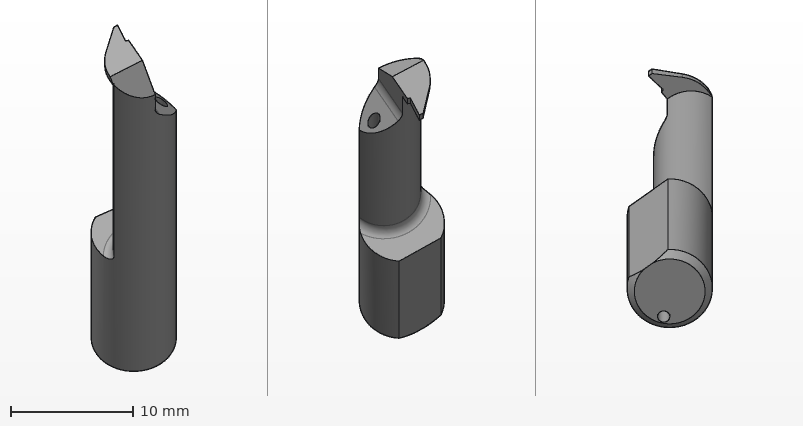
import cadquery as cq
import math

total_length = 40
shank_radius = 3.5
shank_length = 15.0
flat_x = -2.86
foot_chamfer = 0.6

neck_radius = 3.05
neck_left_x = -0.25
neck_center_x = neck_left_x + neck_radius
neck_root_radius = 0.8

relief_y = 0.1
relief_root_radius = 1.6
relief_slope_y = 2.95
relief_slope_z = 32.05
relief_slope_angle = 48.5

head_height = 1.0
head_top_drop = 0.25
head_bottom_rise = 0.15
tip_x = -2.8
tip_front_y = 0.05
tip_back_y = -0.3
rake_end = (-1.1, -0.15)
rake_step_x = -1.0
flank_end = (-0.95, -2.1)
back_y = -2.95
back_end_x = 1.85
bevel_front_leg = 2.15
bevel_back_leg = 2.4

coolant_x = 1.5
coolant_y = 1.75
coolant_diameter = 1.0

cut_size = 4 * shank_radius


def make_shank():
    shank = cq.Workplane("XY").circle(shank_radius).extrude(shank_length)
    shank = shank.faces("<Z").chamfer(foot_chamfer)
    beyond_flat = cq.Workplane("XY").box(cut_size, cut_size, total_length).translate(
        (flat_x - cut_size / 2, 0, 0)
    )
    return shank.cut(beyond_flat)


def make_neck():
    """Offset round neck with a concave flare at its root, kept within the shank's round."""
    root_top = shank_length + neck_root_radius
    arc_offset = neck_root_radius * (1 - math.sqrt(0.5))
    neck = (
        cq.Workplane("XZ")
        .moveTo(0, shank_length)
        .lineTo(neck_radius + neck_root_radius, shank_length)
        .threePointArc(
            (neck_radius + arc_offset, shank_length + arc_offset),
            (neck_radius, root_top),
        )
        .lineTo(neck_radius, total_length)
        .lineTo(0, total_length)
        .close()
        .revolve(360, (0, 0), (0, 1))
        .translate((neck_center_x, 0, 0))
    )
    envelope = cq.Workplane("XY").circle(shank_radius).extrude(total_length)
    return neck.intersect(envelope)


def make_relief():
    """Waste above a sloping run-out, rounded where the slope meets the flat."""
    slope = math.tan(math.radians(relief_slope_angle))
    corner_z = relief_slope_z + (relief_slope_y - relief_y) * slope
    outer_y = 2 * shank_radius
    outer_z = corner_z - (outer_y - relief_y) * slope
    return (
        cq.Workplane("YZ")
        .moveTo(relief_y, corner_z)
        .lineTo(outer_y, outer_z)
        .lineTo(outer_y, total_length)
        .lineTo(relief_y, total_length)
        .close()
        .extrude(shank_radius, both=True)
        .edges(cq.selectors.NearestToPointSelector((0, relief_y, corner_z)))
        .fillet(relief_root_radius)
    )


def make_head():
    """Hooked cutting tooth whose underside rises away from the cutting edge."""
    flank_dx = flank_end[0] - tip_x
    flank_dy = tip_back_y - flank_end[1]
    half_turn = math.atan2(flank_dy, flank_dx) / 2
    flank_arc_end_x = flank_end[0] + (flank_end[1] - back_y) / math.tan(half_turn)
    plan = (
        cq.Workplane("XY")
        .moveTo(tip_x, tip_back_y)
        .lineTo(*flank_end)
        .tangentArcPoint((flank_arc_end_x, back_y), relative=False)
        .lineTo(back_end_x, back_y)
        .lineTo(back_end_x, relief_y)
        .lineTo(rake_step_x, relief_y)
        .lineTo(*rake_end)
        .lineTo(tip_x, tip_front_y)
        .close()
        .extrude(total_length)
    )
    underside = total_length - head_height
    slab = (
        cq.Workplane("YZ")
        .moveTo(relief_y, underside)
        .lineTo(back_y, underside + head_bottom_rise)
        .lineTo(back_y, total_length)
        .lineTo(relief_y, total_length)
        .close()
        .extrude(shank_radius, both=True)
    )
    return plan.intersect(slab)


def make_top_clearance():
    """Waste above the end face, which falls away behind the cutting edge."""
    drop_slope = head_top_drop / (relief_y - back_y)
    outer_y = -shank_radius
    return (
        cq.Workplane("YZ")
        .moveTo(relief_y, total_length)
        .lineTo(outer_y, total_length - drop_slope * (relief_y - outer_y))
        .lineTo(outer_y, total_length)
        .close()
        .extrude(shank_radius, both=True)
    )


def bevel_corner(leg):
    """Right triangle with equal legs at the top corner of a front-facing section."""
    return [
        (shank_radius, total_length - leg),
        (shank_radius, total_length),
        (shank_radius - leg, total_length),
    ]


def make_bevel():
    """Waste outside the bevel opposite the tooth, deepening behind the cutting edge."""
    return (
        cq.Workplane("XZ", origin=(0, relief_y, 0))
        .polyline(bevel_corner(bevel_front_leg))
        .close()
        .workplane(offset=relief_y + shank_radius)
        .polyline(bevel_corner(bevel_back_leg))
        .close()
        .loft(ruled=True)
    )


coolant_hole = (
    cq.Workplane("XY")
    .center(coolant_x, coolant_y)
    .circle(coolant_diameter / 2)
    .extrude(total_length)
)

result = (
    make_shank()
    .union(make_neck())
    .cut(make_relief())
    .union(make_head())
    .cut(make_top_clearance())
    .cut(make_bevel())
    .cut(coolant_hole)
)